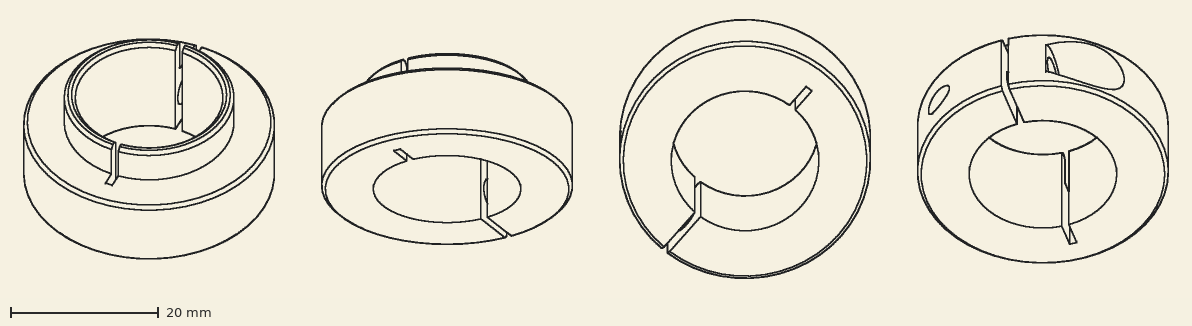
import cadquery as cq


collar_diameter = 34.0
collar_height = 10.0
hub_diameter = 23.0
hub_height = 5.0
bore_diameter = 20.0
edge_chamfer = 0.5
total_height = collar_height + hub_height

slit_width = 1.0
hinge_slit_end_y = -13.5

screw_y = 13.0
screw_z = collar_height / 2
head_diameter = 8.0
head_seat_x = -5.5
clearance_diameter = 4.5
thread_hole_diameter = 3.3


def chamfered_disc(diameter, height, base_z, edges):
    """Upright disc with the selected rim edges chamfered."""
    disc = cq.Workplane("XY").workplane(offset=base_z).circle(diameter / 2).extrude(height)
    return disc.edges(edges).chamfer(edge_chamfer)


def make_ring():
    """Collar and hub with the bore, which is chamfered at its hub end."""
    collar = chamfered_disc(collar_diameter, collar_height, 0, "%CIRCLE")
    hub = chamfered_disc(hub_diameter, hub_height, collar_height, ">Z")
    bore = cq.Workplane("XY").circle(bore_diameter / 2).extrude(total_height)
    bored_ring = collar.union(hub).cut(bore)
    inner_rim = bored_ring.faces(">Z").edges(cq.selectors.RadiusNthSelector(0))
    return inner_rim.chamfer(edge_chamfer)


def make_slit():
    """Full-height slot from the hinge end out through the +Y rim."""
    slit_length = collar_diameter / 2 - hinge_slit_end_y
    return (
        cq.Workplane("XY")
        .center(0, hinge_slit_end_y + slit_length / 2)
        .rect(slit_width, slit_length)
        .extrude(total_height)
    )


def screw_bore(diameter, start_x, end_x):
    """Cylinder on the clamp screw axis between two X positions."""
    return (
        cq.Workplane("YZ", origin=(start_x, screw_y, screw_z))
        .circle(diameter / 2)
        .extrude(end_x - start_x)
    )


def make_screw_hole():
    """Head counterbore from -X, clearance hole to the slit, thread hole out to +X."""
    rim_x = collar_diameter / 2
    head_bore = screw_bore(head_diameter, -rim_x, head_seat_x)
    clearance_hole = screw_bore(clearance_diameter, head_seat_x, 0)
    thread_hole = screw_bore(thread_hole_diameter, 0, rim_x)
    return head_bore.union(clearance_hole).union(thread_hole)


result = make_ring().cut(make_slit()).cut(make_screw_hole())